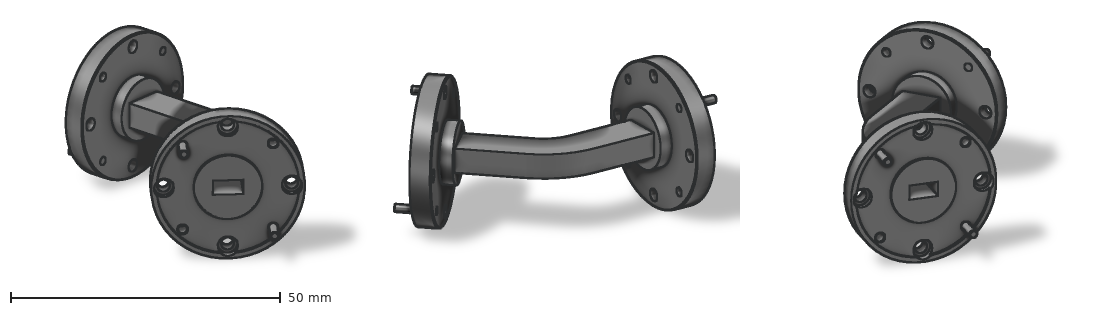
import cadquery as cq
import math

bend_angle = 45.0
bend_radius = 12.7
face_to_vertex = 25.4
bend_half_tangent = bend_radius * math.tan(math.radians(bend_angle / 2))
leg_length = face_to_vertex - bend_half_tangent

bore_width = 5.69
bore_height = 2.845
wall = 1.016
tube_width = bore_width + 2 * wall
tube_height = bore_height + 2 * wall

flange_diameter = 28.575
flange_thickness = 4.06
flange_edge_chamfer = 0.2
hub_diameter = 12.06
hub_length = 2.5

recess_outer_diameter = 26.5
recess_inner_diameter = 12.75
recess_depth = 0.5

pitch_radius = 23.81 / 2
screw_hole_diameter = 2.4
screw_relief_diameter = 3.7
screw_relief_depth = 1.6
screw_angles = (0, 90, 180, 270)
dowel_diameter = 1.57
dowel_clearance_diameter = 1.7
dowel_hole_chamfer = 0.15
dowel_angles = (45, 225)
dowel_clearance_angles = (135, 315)

dowel_length = 7.9375
dowel_tip_chamfer = 0.15


def disc(diameter, start, length, y=0.0, z=0.0):
    """Cylinder along X that starts at X = start."""
    plane = cq.Workplane("YZ", origin=(start, y, z))
    return plane.circle(diameter / 2).extrude(length)


def on_pitch_circle(angle):
    """Y and Z of a hole on the pitch circle."""
    turn = math.radians(angle)
    return pitch_radius * math.cos(turn), pitch_radius * math.sin(turn)


def to_second_end(shape):
    """Move a shape from the first flanged end to the second one."""
    turn = math.radians(bend_angle)
    far_face_x = face_to_vertex * (1 + math.cos(turn))
    far_face_y = -face_to_vertex * math.sin(turn)
    turned = shape.rotate((0, 0, 0), (0, 0, 1), 180 - bend_angle)
    return turned.translate((far_face_x, far_face_y, 0))


def bent_bar(width, height):
    """Rectangular bar that follows the bend from one mating face to the other."""
    turn = math.radians(bend_angle)
    bend_end_x = leg_length + bend_radius * math.sin(turn)
    bend_end_y = -bend_radius * (1 - math.cos(turn))
    bend_middle_x = leg_length + bend_radius * math.sin(turn / 2)
    bend_middle_y = -bend_radius * (1 - math.cos(turn / 2))
    path = (
        cq.Workplane("XY")
        .lineTo(leg_length, 0)
        .threePointArc((bend_middle_x, bend_middle_y), (bend_end_x, bend_end_y))
        .line(leg_length * math.cos(turn), -leg_length * math.sin(turn))
    )
    return cq.Workplane("YZ").rect(width, height).sweep(path)


def flange_blank():
    """Flange and hub with the ring recess in the mating face."""
    plate = disc(flange_diameter, 0, flange_thickness).faces(">X").edges().chamfer(flange_edge_chamfer)
    hub = disc(hub_diameter, flange_thickness, hub_length)
    recess = disc(recess_outer_diameter, 0, recess_depth).cut(disc(recess_inner_diameter, 0, recess_depth))
    return plate.union(hub).cut(recess)


def screw_hole(angle):
    """Through hole with a wider relief at the mating face."""
    y, z = on_pitch_circle(angle)
    relief = disc(screw_relief_diameter, 0, screw_relief_depth, y, z)
    return disc(screw_hole_diameter, 0, flange_thickness, y, z).union(relief)


def dowel_hole(angle, diameter):
    """Through hole, chamfered where it meets the recess floor."""
    y, z = on_pitch_circle(angle)
    radius = diameter / 2
    floor_point = cq.Vector(recess_depth, y, z)
    mouth = cq.Solid.makeCone(
        radius + dowel_hole_chamfer, radius, dowel_hole_chamfer, floor_point, cq.Vector(1, 0, 0)
    )
    return disc(diameter, 0, flange_thickness, y, z).union(cq.Workplane(mouth))


def dowel_pin(angle):
    """Pin whose chamfered tip stands out of the mating face."""
    y, z = on_pitch_circle(angle)
    pin = disc(dowel_diameter, flange_thickness - dowel_length, dowel_length, y, z)
    return pin.faces("<X").edges().chamfer(dowel_tip_chamfer)


def flange():
    body = flange_blank()
    for angle in screw_angles:
        body = body.cut(screw_hole(angle))
    for angle in dowel_angles:
        body = body.cut(dowel_hole(angle, dowel_diameter))
    for angle in dowel_clearance_angles:
        body = body.cut(dowel_hole(angle, dowel_clearance_diameter))
    return body


near_flange = flange()
waveguide = (
    bent_bar(tube_width, tube_height)
    .union(near_flange)
    .union(to_second_end(near_flange))
    .cut(bent_bar(bore_width, bore_height))
)

dowel_pins = []
for pin_angle in dowel_angles:
    near_pin = dowel_pin(pin_angle)
    dowel_pins.append(near_pin.val())
    dowel_pins.append(to_second_end(near_pin).val())

result = cq.Compound.makeCompound([waveguide.val(), *dowel_pins])